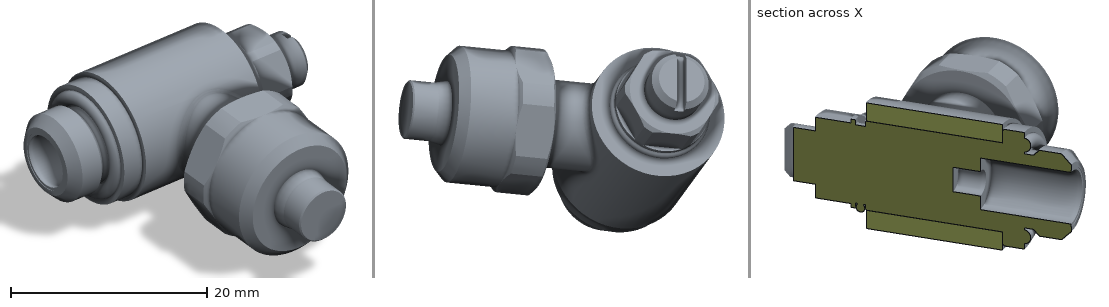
import cadquery as cq
import math


BARREL_DIA = 14.0
BARREL_TOP = 6.0
BARREL_LENGTH = 15.0
BARREL_BOTTOM = BARREL_TOP - BARREL_LENGTH
SHANK_DIA = 9.85

BRANCH_DIA = 9.0
BRANCH_FILLET = 0.5
NUT_START = 11.0
NUT_HEX_FLATS = 14.0
NUT_HEX_CORNER_DIA = 15.0
NUT_HEX_LENGTH = 4.0
NUT_HEX_CHAMFER = 0.36
NUT_FACE_DIA = 13.8
NUT_SLEEVE_DIA = 14.0
NUT_LENGTH = 10.0
NUT_CHAMFER = 1.0
TUBE_DIA = 6.0
TUBE_FLARE_DIA = 6.6
TUBE_FLARE_LENGTH = 1.3
TUBE_LENGTH = 4.0
TUBE_CHAMFER = 0.15

COLLAR_DIA = 13.0
COLLAR_LENGTH = 2.4
COLLAR_CHAMFER = 0.15
SEAL_WIRE_RADIUS = 0.8
SEAL_RING_RADIUS = 5.1
SEAL_BULGE = 0.68
NECK_DIA = 8.3
NECK_LENGTH = 0.95
THREAD_DIA = 9.6
THREAD_LEAD_LENGTH = 0.65
THREAD_LENGTH = 4.2
THREAD_END_CHAMFER = 1.1
PORT_DIA = 5.7
PORT_MOUTH_DIA = 6.3
PORT_MOUTH_DEPTH = 0.05
PORT_DEPTH = 10.0
ORIFICE_DIA = 2.7
ORIFICE_DEPTH = 3.0

SNAP_WIRE_RADIUS = 0.5
SNAP_RING_OUTER_DIA = 10.55
SNAP_RING_GAP = 0.5
GROOVE_DIA = 8.75
GROOVE_START = 6.1
GROOVE_END = 7.15
HEX_START = 7.7
HEX_FLATS = 9.0
HEX_LENGTH = 3.9
HEX_CHAMFER = 0.3
SCREW_DIA = 6.0
SCREW_LENGTH = 3.6
SCREW_CHAMFER = 0.6
SLOT_WIDTH = 1.0
SLOT_DEPTH = 1.2

COLLAR_BOTTOM = BARREL_BOTTOM - COLLAR_LENGTH
NECK_BOTTOM = COLLAR_BOTTOM - NECK_LENGTH
BOLT_BOTTOM = NECK_BOTTOM - THREAD_LENGTH
HEX_TOP = HEX_START + HEX_LENGTH
SCREW_TOP = HEX_TOP + SCREW_LENGTH

ACROSS_X = cq.Plane(origin=(0, 0, 0), xDir=(0, 1, 0), normal=(1, 0, 0))
ACROSS_Y = cq.Plane(origin=(0, 0, 0), xDir=(1, 0, 0), normal=(0, 1, 0))


def turned_about_y(points):
    """Solid of revolution about Y from a closed (radius, y) outline."""
    return cq.Workplane("XY").polyline(points).close().revolve(360, (0, 0, 0), (0, 1, 0))


def turned_about_x(points):
    """Solid of revolution about X from a closed (x, radius) outline."""
    return cq.Workplane("XY").polyline(points).close().revolve(360, (0, 0, 0), (1, 0, 0))


def ring_about_y(ring_radius, wire_radius, y):
    """Torus around the Y axis."""
    torus = cq.Solid.makeTorus(ring_radius, wire_radius, cq.Vector(0, y, 0), cq.Vector(0, 1, 0))
    return cq.Workplane(obj=torus)


def hexagon_bar(flats, start, length, plane):
    """Hexagonal bar with two of its flats facing +Z and -Z, along the plane's normal."""
    corner_dia = flats / math.cos(math.radians(30))
    bar = cq.Workplane(plane).polygon(6, corner_dia)
    return bar.extrude(length).translate(plane.zDir * start)



def make_nut_hex():
    """Hexagon with its corners turned round and both ends chamfered."""
    end = NUT_START + NUT_HEX_LENGTH
    corner_radius = NUT_HEX_CORNER_DIA / 2
    blank = turned_about_x([
        (NUT_START, 0),
        (NUT_START, NUT_FACE_DIA / 2),
        (NUT_START + NUT_HEX_CHAMFER, corner_radius),
        (end - NUT_HEX_CHAMFER, corner_radius),
        (end, NUT_SLEEVE_DIA / 2),
        (end, 0),
    ])
    return blank.intersect(hexagon_bar(NUT_HEX_FLATS, NUT_START, NUT_HEX_LENGTH, ACROSS_X))


def make_sleeve_and_tube():
    """Round part of the nut, followed by the flared tube end."""
    start = NUT_START + NUT_HEX_LENGTH
    nut_end = NUT_START + NUT_LENGTH
    tube_end = nut_end + TUBE_LENGTH
    sleeve_radius = NUT_SLEEVE_DIA / 2
    tube_radius = TUBE_DIA / 2
    return turned_about_x([
        (start, 0),
        (start, sleeve_radius),
        (nut_end - NUT_CHAMFER, sleeve_radius),
        (nut_end, sleeve_radius - NUT_CHAMFER),
        (nut_end, TUBE_FLARE_DIA / 2),
        (nut_end + TUBE_FLARE_LENGTH, tube_radius),
        (tube_end - TUBE_CHAMFER, tube_radius),
        (tube_end, tube_radius - TUBE_CHAMFER),
        (tube_end, 0),
    ])


def make_housing():
    barrel = cq.Workplane(ACROSS_Y).circle(BARREL_DIA / 2).extrude(BARREL_LENGTH)
    barrel = barrel.translate((0, BARREL_BOTTOM, 0))
    branch = cq.Workplane(ACROSS_X).circle(BRANCH_DIA / 2).extrude(NUT_START)
    body = barrel.union(branch)
    body = body.edges("%BSPLINE").fillet(BRANCH_FILLET)
    body = body.union(make_nut_hex()).union(make_sleeve_and_tube())
    bore = cq.Workplane(ACROSS_Y).circle(SHANK_DIA / 2).extrude(BARREL_LENGTH)
    return body.cut(bore.translate((0, BARREL_BOTTOM, 0)))



def make_bolt_core():
    """Turned bolt from the threaded end up to the chamfered top of the hexagon, still round."""
    collar_radius = COLLAR_DIA / 2
    shank_radius = SHANK_DIA / 2
    groove_radius = GROOVE_DIA / 2
    thread_radius = THREAD_DIA / 2
    neck_radius = NECK_DIA / 2
    return turned_about_y([
        (0, HEX_TOP),
        (HEX_FLATS / 2, HEX_TOP),
        (shank_radius, HEX_TOP - HEX_CHAMFER),
        (shank_radius, GROOVE_END),
        (groove_radius, GROOVE_END),
        (groove_radius, GROOVE_START),
        (shank_radius, GROOVE_START),
        (shank_radius, BARREL_BOTTOM),
        (collar_radius - COLLAR_CHAMFER, BARREL_BOTTOM),
        (collar_radius, BARREL_BOTTOM - COLLAR_CHAMFER),
        (collar_radius, COLLAR_BOTTOM),
        (neck_radius, COLLAR_BOTTOM),
        (neck_radius, NECK_BOTTOM),
        (thread_radius, NECK_BOTTOM - THREAD_LEAD_LENGTH),
        (thread_radius, BOLT_BOTTOM + THREAD_END_CHAMFER),
        (thread_radius - THREAD_END_CHAMFER, BOLT_BOTTOM),
        (0, BOLT_BOTTOM),
    ])


def make_port():
    """Blind flow passage: shallow counterbored mouth, wide port, then a narrow orifice."""
    mouth_radius = PORT_MOUTH_DIA / 2
    mouth_end = BOLT_BOTTOM + PORT_MOUTH_DEPTH
    port_radius = PORT_DIA / 2
    orifice_radius = ORIFICE_DIA / 2
    port_end = BOLT_BOTTOM + PORT_DEPTH
    orifice_end = port_end + ORIFICE_DEPTH
    return turned_about_y([
        (0, BOLT_BOTTOM),
        (mouth_radius, BOLT_BOTTOM),
        (mouth_radius, mouth_end),
        (port_radius, mouth_end),
        (port_radius, port_end),
        (orifice_radius, port_end),
        (orifice_radius, orifice_end),
        (0, orifice_end),
    ])


def make_snap_ring():
    """Round-wire ring in the middle of the groove above the barrel, split at +Z."""
    ring_radius = SNAP_RING_OUTER_DIA / 2 - SNAP_WIRE_RADIUS
    ring = ring_about_y(ring_radius, SNAP_WIRE_RADIUS, (GROOVE_START + GROOVE_END) / 2)
    gap = cq.Workplane("XY").box(SNAP_RING_GAP, BARREL_LENGTH, BARREL_DIA, centered=(True, True, False))
    return ring.cut(gap)


def make_hex_flat_cutter():
    """Surroundings of the hexagon: cutting them away leaves its six flats."""
    surround = cq.Workplane(ACROSS_Y).circle(COLLAR_DIA / 2).extrude(HEX_LENGTH)
    surround = surround.translate((0, HEX_START, 0))
    return surround.cut(hexagon_bar(HEX_FLATS, HEX_START, HEX_LENGTH, ACROSS_Y))


def make_screw_end():
    """Round screw end with a chamfered tip and a driver slot running along Z."""
    screw_radius = SCREW_DIA / 2
    screw = turned_about_y([
        (0, HEX_TOP),
        (screw_radius, HEX_TOP),
        (screw_radius, SCREW_TOP - SCREW_CHAMFER),
        (screw_radius - SCREW_CHAMFER, SCREW_TOP),
        (0, SCREW_TOP),
    ])
    slot = cq.Workplane("XY").box(SLOT_WIDTH, 2 * SLOT_DEPTH, 2 * SCREW_DIA)
    return screw.cut(slot.translate((0, SCREW_TOP, 0)))


def make_bolt():
    seal_y = COLLAR_BOTTOM - SEAL_BULGE + SEAL_WIRE_RADIUS
    seal = ring_about_y(SEAL_RING_RADIUS, SEAL_WIRE_RADIUS, seal_y)
    bolt = make_bolt_core().cut(make_hex_flat_cutter())
    bolt = bolt.union(seal).union(make_snap_ring()).union(make_screw_end())
    return bolt.cut(make_port())


housing = make_housing()
bolt = make_bolt()

result = cq.Compound.makeCompound([housing.solids().val(), bolt.solids().val()])